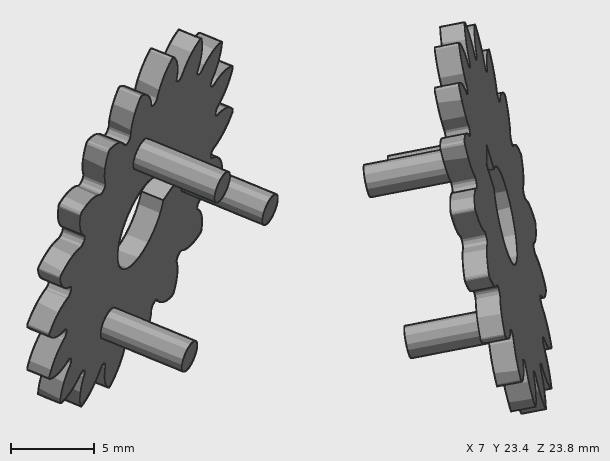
import cadquery as cq
import math

tooth_count = 18
tip_radius = 11.9
root_radius = 9.5
plate_thickness = 1.5

tip_half_width = 0.17
flank_foot_out = 9.8
flank_arc_radius = 2.98
flank_centre_out = 9.47
flank_centre_side = 1.65

bore_radius = 3.0
keyway_width = 1.93
keyway_reach = 4.7

pin_radius = 1.0
pin_length = 5.5
pin_circle_radius = 6.5
pin_angles = (0, -110, -220)

tooth_pitch = 360 / tooth_count


def flank_side(out):
    """Half width of a tooth at the distance `out` along its centreline."""
    return math.sqrt(flank_arc_radius**2 - (out - flank_centre_out) ** 2) - flank_centre_side


def flank_out(side):
    """Distance along the tooth centreline where its half width is `side`."""
    return flank_centre_out + math.sqrt(flank_arc_radius**2 - (side + flank_centre_side) ** 2)


def polar_point(out, side, angle):
    """(Y, Z) of a point given in a frame turned `angle` degrees from +Z towards -Y."""
    turn = math.radians(angle)
    y = -out * math.sin(turn) - side * math.cos(turn)
    z = out * math.cos(turn) - side * math.sin(turn)
    return y, z


def gear_outline():
    """Closed tooth outline: each tooth is flank, rounded tip, flank and rounded root."""
    foot_side = flank_side(flank_foot_out)
    tip_corner_out = flank_out(tip_half_width)
    middle_out = (flank_foot_out + tip_corner_out) / 2
    middle_side = flank_side(middle_out)

    outline = cq.Workplane("YZ").moveTo(*polar_point(flank_foot_out, -foot_side, 0))
    for tooth in range(tooth_count):
        angle = tooth * tooth_pitch
        next_angle = angle + tooth_pitch
        outline = (
            outline
            .threePointArc(
                polar_point(middle_out, -middle_side, angle),
                polar_point(tip_corner_out, -tip_half_width, angle),
            )
            .threePointArc(
                polar_point(tip_radius, 0, angle),
                polar_point(tip_corner_out, tip_half_width, angle),
            )
            .threePointArc(
                polar_point(middle_out, middle_side, angle),
                polar_point(flank_foot_out, foot_side, angle),
            )
            .threePointArc(
                polar_point(root_radius, 0, angle + tooth_pitch / 2),
                polar_point(flank_foot_out, -foot_side, next_angle),
            )
        )
    return outline.close()


def make_gear():
    """Toothed plate with a round bore and a keyway towards +Y."""
    bore = cq.Workplane("YZ").circle(bore_radius).extrude(plate_thickness)
    keyway = (
        cq.Workplane("YZ")
        .center(keyway_reach / 2, 0)
        .rect(keyway_reach, keyway_width)
        .extrude(plate_thickness)
    )
    return gear_outline().extrude(plate_thickness).cut(bore).cut(keyway)


def make_pin(angle):
    """Plain round pin standing on the +X face of the plate."""
    return (
        cq.Workplane("YZ", origin=(plate_thickness, 0, 0))
        .center(*polar_point(pin_circle_radius, 0, angle))
        .circle(pin_radius)
        .extrude(pin_length)
    )


gear = make_gear()
pins = [make_pin(angle) for angle in pin_angles]

result = cq.Compound.makeCompound([gear.val(), *[pin.val() for pin in pins]])